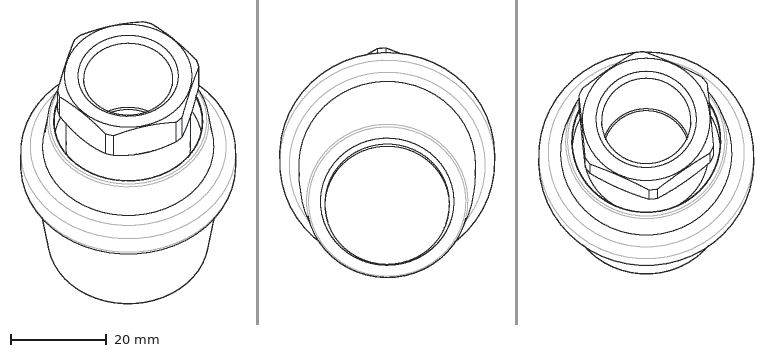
import cadquery as cq
import math

total_height = 60.5

hex_across_flats = 27.0
hex_corner_diameter = 30.2
hex_bottom = 50.45
hex_top_face_diameter = 26.7
hex_top_slope = 30.0

stem_diameter = 26.0
bore_diameter = 18.65
bore_mouth_diameter = 21.0
bore_floor_diameter = 17.95
bore_depth = 24.2

collar_diameter = 27.95
collar_bottom = 1.45

barrel_diameter = 36.95
barrel_end_diameter = 33.75
barrel_bottom = 2.5
barrel_top = 44.65
barrel_draft = 6.8
bulge_diameter = 36.35
bulge_height = 13.6
edge_round = 0.4
flange_diameter = 45.0
flange_bottom = 26.75
flange_top = 35.5
flange_round = 2.0

recess_diameter = 31.0
recess_mouth_diameter = 31.2
recess_mouth_depth = 0.35
recess_funnel_top = 37.2
recess_funnel_slope = 45.0

stem_radius = stem_diameter / 2
barrel_radius = barrel_diameter / 2
barrel_end_radius = barrel_end_diameter / 2
recess_radius = recess_diameter / 2
draft = math.radians(barrel_draft)


def revolve(profile):
    """Turn a closed (radius, height) profile around Z."""
    return profile.close().revolve(360, (0, 0, 0), (0, 1, 0))


def make_barrel():
    """Barrel bulging smoothly below the flange and tapering straight above it."""
    lower_end = (barrel_end_radius, barrel_bottom + edge_round)
    upper_end = (barrel_end_radius, barrel_top - edge_round)
    end_face_radius = barrel_end_radius - edge_round
    taper_rise = upper_end[1] - flange_top
    end_tangent = (math.sin(draft), math.cos(draft))
    bulge = [(bulge_diameter / 2, bulge_height), (barrel_radius, flange_bottom)]
    return revolve(
        cq.Workplane("XZ")
        .moveTo(0, barrel_bottom)
        .lineTo(end_face_radius, barrel_bottom)
        .tangentArcPoint(lower_end, relative=False)
        .spline(bulge, tangents=[end_tangent, (0, 1)], includeCurrent=True)
        .lineTo(barrel_radius, flange_top)
        .lineTo(barrel_end_radius + taper_rise * math.tan(draft), flange_top)
        .lineTo(*upper_end)
        .tangentArcPoint((end_face_radius, barrel_top), relative=False)
        .lineTo(0, barrel_top)
    )


def make_flange():
    """Round flange with both outer edges filleted."""
    return (
        cq.Workplane("XY", origin=(0, 0, flange_bottom))
        .circle(flange_diameter / 2)
        .extrude(flange_top - flange_bottom)
        .edges()
        .fillet(flange_round)
    )


def make_recess():
    """Stepped recess whose floor is a funnel running down to the stem."""
    mouth_bottom = barrel_top - recess_mouth_depth
    funnel_depth = (recess_radius - stem_radius) * math.tan(math.radians(recess_funnel_slope))
    return revolve(
        cq.Workplane("XZ")
        .moveTo(stem_radius, recess_funnel_top - funnel_depth)
        .lineTo(recess_radius, recess_funnel_top)
        .lineTo(recess_radius, mouth_bottom)
        .lineTo(recess_mouth_diameter / 2, mouth_bottom)
        .lineTo(recess_mouth_diameter / 2, barrel_top)
        .lineTo(stem_radius, barrel_top)
    )


def make_collar():
    """Short collar under the barrel, rounded down to the stem."""
    collar_height = barrel_bottom - collar_bottom
    collar = (
        cq.Workplane("XY", origin=(0, 0, collar_bottom))
        .circle(collar_diameter / 2)
        .extrude(collar_height)
    )
    collar_round = (collar_diameter - stem_diameter) / 2
    return collar.faces("<Z").edges().fillet(collar_round)


def make_hex_head():
    """Hexagon with two flats facing +X and -X, bevelled above and below."""
    corner_radius = hex_corner_diameter / 2
    top_radius = hex_top_face_diameter / 2
    top_bevel = (corner_radius - top_radius) * math.tan(math.radians(hex_top_slope))
    bottom_bevel = corner_radius - stem_radius
    hexagon = (
        cq.Workplane("XY", origin=(0, 0, hex_bottom))
        .polygon(6, hex_across_flats, circumscribed=True)
        .extrude(total_height - hex_bottom)
    )
    envelope = revolve(
        cq.Workplane("XZ")
        .moveTo(0, hex_bottom)
        .lineTo(stem_radius, hex_bottom)
        .lineTo(corner_radius, hex_bottom + bottom_bevel)
        .lineTo(corner_radius, total_height - top_bevel)
        .lineTo(top_radius, total_height)
        .lineTo(0, total_height)
    )
    return hexagon.intersect(envelope)


def make_bore():
    """Blind bore with a 45 degree countersink and a bevelled floor edge."""
    bore_radius = bore_diameter / 2
    mouth_radius = bore_mouth_diameter / 2
    floor_radius = bore_floor_diameter / 2
    floor = total_height - bore_depth
    return revolve(
        cq.Workplane("XZ")
        .moveTo(0, floor)
        .lineTo(floor_radius, floor)
        .lineTo(bore_radius, floor + bore_radius - floor_radius)
        .lineTo(bore_radius, total_height - (mouth_radius - bore_radius))
        .lineTo(mouth_radius, total_height)
        .lineTo(0, total_height)
    )


stem = cq.Workplane("XY").circle(stem_radius).extrude(hex_bottom)
result = (
    make_barrel()
    .union(make_flange())
    .cut(make_recess())
    .union(make_collar())
    .union(stem)
    .union(make_hex_head())
    .cut(make_bore())
)